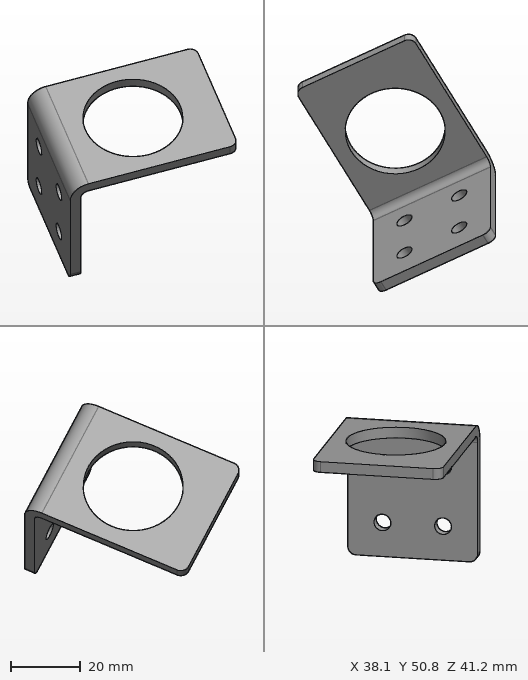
import cadquery as cq

width = 38.1
depth = 50.8
height = 41.25

thickness = 3.2
inner_bend_radius = 2.3
outer_bend_radius = inner_bend_radius + thickness
corner_radius = 2.5

opening_diameter = 28.6
opening_setback = 25.4

mount_hole_diameter = 4.9
mount_hole_spacing = 17.8
lower_hole_height = 10.15
pattern_center_height = lower_hole_height + mount_hole_spacing / 2


def bent_sheet():
    """L-shaped sheet: front face at y = 0, bottom edge at z = 0, centred on x = 0."""
    return (
        cq.Workplane("YZ")
        .rect(depth, height, centered=False)
        .extrude(width / 2, both=True)
        .edges("|X and <Y and >Z")
        .fillet(outer_bend_radius)
        .cut(inner_space())
    )


def inner_space():
    """Block behind the vertical flange and below the horizontal one."""
    return (
        cq.Workplane("YZ")
        .center(thickness, 0)
        .rect(depth - thickness, height - thickness, centered=False)
        .extrude(width / 2, both=True)
        .edges("|X and <Y and >Z")
        .fillet(inner_bend_radius)
    )


def round_free_corners(body):
    body = body.edges("|Z and >Y").fillet(corner_radius)
    return body.edges("|Y and <Z").fillet(corner_radius)


def opening_cutter():
    return (
        cq.Workplane("XY", origin=(0, opening_setback, height - thickness))
        .circle(opening_diameter / 2)
        .extrude(thickness)
    )


def mount_hole_cutters():
    return (
        cq.Workplane("XZ", origin=(0, 0, pattern_center_height))
        .rarray(mount_hole_spacing, mount_hole_spacing, 2, 2)
        .circle(mount_hole_diameter / 2)
        .extrude(-thickness)
    )


result = round_free_corners(bent_sheet()).cut(opening_cutter()).cut(mount_hole_cutters())